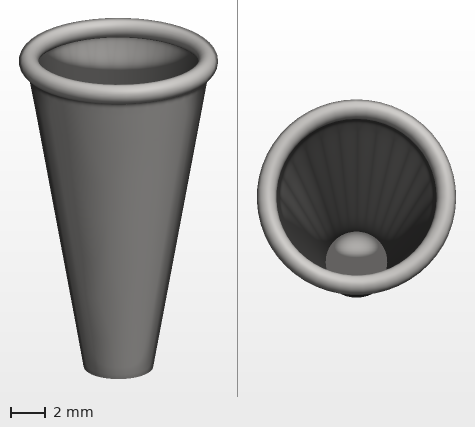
import cadquery as cq

height = 19.56
outer_diameter = 11.52

bead_radius = 0.57
bead_center_radius = outer_diameter / 2 - bead_radius
bead_center_z = height - bead_radius

base_radius = 2.01
mouth_radius = 5.34
floor_radius = 1.78
floor_thickness = 0.5
wall_thickness = 0.33


def make_cup():
    """Hollow cone with a closed flat floor, revolved about Z."""
    profile = [
        (0, 0),
        (base_radius, 0),
        (mouth_radius, bead_center_z),
        (mouth_radius - wall_thickness, bead_center_z),
        (floor_radius, floor_thickness),
        (0, floor_thickness),
    ]
    return cq.Workplane("XZ").polyline(profile).close().revolve(360, (0, 0), (0, 1))


def make_bead():
    """Ring of circular section that finishes the mouth."""
    section = (
        cq.Workplane("XZ", origin=(bead_center_radius, 0, bead_center_z))
        .transformed(rotate=(0, 0, -90))
        .circle(bead_radius)
    )
    return section.revolve(360, (0, -bead_center_radius), (1, -bead_center_radius))


result = make_cup().union(make_bead())